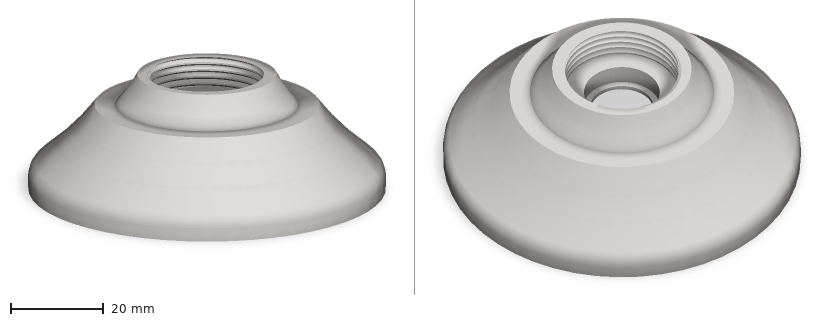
import cadquery as cq
import math

overall_height = 25.8
rim_radius = 38.5
rim_straight_height = 3.0
skirt_start_radius = 36.9
skirt_start_height = 6.1
ledge_height = 19.0
ledge_radius = 24.2
neck_base_radius = 19.8
neck_top_radius = 15.0
skirt_sag = 0.6
neck_sag = 0.3

thread_minor_radius = 12.2
counterbore_radius = 16.3 / 2
counterbore_depth = 4.2
hole_radius = 13.6 / 2
lip_thickness = 0.9
counterbore_floor = ledge_height - counterbore_depth

thread_pitch = 1.55
thread_depth = 0.9
thread_opening = 1.15
thread_overlap = 0.1
turns_below_top = 6
turns_above_top = 1
thread_root_angle = -90

cavity_ceiling = counterbore_floor - lip_thickness
cavity_wall = 3.1
cavity_top_radius = 25.4


def bowed_inward(start, end, sag):
    """Middle point of an arc rising from start to end, bowed towards the axis."""
    run = end[0] - start[0]
    rise = end[1] - start[1]
    length = math.hypot(run, rise)
    middle_radius = (start[0] + end[0]) / 2 - sag * rise / length
    middle_height = (start[1] + end[1]) / 2 + sag * run / length
    return middle_radius, middle_height


def make_body():
    """Revolve the solid outer profile about Z."""
    skirt_start = (skirt_start_radius, skirt_start_height)
    skirt_end = (ledge_radius, ledge_height)
    neck_start = (neck_base_radius, ledge_height)
    neck_end = (neck_top_radius, overall_height)
    profile = (
        cq.Workplane("XZ")
        .lineTo(rim_radius, 0)
        .lineTo(rim_radius, rim_straight_height)
        .tangentArcPoint(skirt_start, relative=False)
        .threePointArc(bowed_inward(skirt_start, skirt_end, skirt_sag), skirt_end)
        .lineTo(*neck_start)
        .threePointArc(bowed_inward(neck_start, neck_end, neck_sag), neck_end)
        .lineTo(0, overall_height)
        .close()
    )
    return profile.revolve(360, (0, 0, 0), (0, 1, 0))


def cylinder(radius, bottom, top):
    return cq.Workplane("XY").workplane(offset=bottom).circle(radius).extrude(top - bottom)


def make_cavity():
    """Conical hollow, open at the bottom."""
    return (
        cq.Workplane("XZ")
        .lineTo(rim_radius - cavity_wall, 0)
        .lineTo(rim_radius - cavity_wall, rim_straight_height)
        .lineTo(cavity_top_radius, cavity_ceiling)
        .lineTo(0, cavity_ceiling)
        .close()
        .revolve(360, (0, 0, 0), (0, 1, 0))
    )


def make_thread_groove():
    """Helical V groove, trimmed to the threaded part of the bore."""
    start_height = overall_height - turns_below_top * thread_pitch
    helix_height = (turns_below_top + turns_above_top) * thread_pitch
    inner_radius = thread_minor_radius - thread_overlap
    half_opening = thread_opening / 2 * (thread_depth + thread_overlap) / thread_depth
    helix = cq.Workplane(
        cq.Wire.makeHelix(thread_pitch, helix_height, thread_minor_radius)
    ).translate((0, 0, start_height))
    groove = (
        cq.Workplane("XZ")
        .moveTo(inner_radius, start_height - half_opening)
        .lineTo(thread_minor_radius + thread_depth, start_height)
        .lineTo(inner_radius, start_height + half_opening)
        .close()
        .sweep(helix, isFrenet=True)
        .rotate((0, 0, 0), (0, 0, 1), thread_root_angle)
    )
    threaded_zone = cylinder(neck_top_radius, ledge_height, overall_height)
    return groove.intersect(threaded_zone)


result = (
    make_body()
    .cut(make_cavity())
    .cut(cylinder(hole_radius, 0, overall_height))
    .cut(cylinder(counterbore_radius, counterbore_floor, overall_height))
    .cut(cylinder(thread_minor_radius, ledge_height, overall_height))
    .cut(make_thread_groove())
)